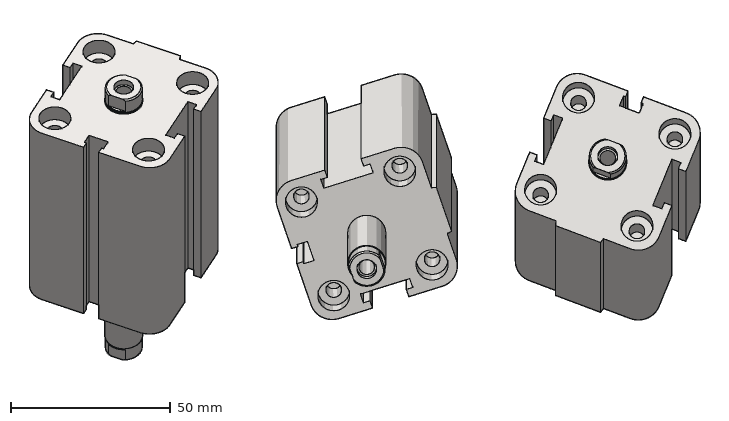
import cadquery as cq

total_length = 116.5
lower_rod_length = 36.1
upper_rod_length = 6.0
housing_bottom = lower_rod_length
housing_top = total_length - upper_rod_length
housing_height = housing_top - housing_bottom

housing_side = 48.0
corner_radius = 7.0
ridge_height = 1.5
ridge_base_width = 16.0
ridge_top_width = 15.3

side_slot_opening = 12.0
side_slot_chamber = 16.3
side_slot_lip = 2.6
side_slot_depth = 5.6
front_slot_opening = 5.2
front_slot_chamber = 6.6
front_slot_lip = 2.1
front_slot_depth = 5.5

mount_spacing = 32.5
mount_hole_diameter = 4.9
mount_bore_diameter = 10.0
mount_bore_depth = 5.7
mount_hole_depth = 14.5

rod_diameter = 12.0
rod_end_diameter = 11.6
rod_end_length = 5.5
shoulder_taper_length = 0.17
rod_end_chamfer = 0.5
flat_length = 5.0
flat_spacing = 10.0
rod_hole_diameter = 4.9
rod_bore_diameter = 6.2
rod_bore_depth = 2.1


def prism(width, depth, height):
    """Box centred on the Z axis and standing on Z = 0."""
    return cq.Workplane("XY").box(width, depth, height, centered=(True, True, False))


def cylinder(diameter, height):
    """Cylinder on the Z axis, standing on Z = 0."""
    return cq.Workplane("XY").circle(diameter / 2).extrude(height)


def make_t_slot(opening, chamber, lip, depth):
    """Full-height T-slot cutter entering the -Y face of the housing."""
    face = -housing_side / 2
    mouth_half = opening / 2
    chamber_half = chamber / 2
    return (
        cq.Workplane("XY")
        .moveTo(-mouth_half, face)
        .lineTo(-mouth_half, face + lip)
        .lineTo(-chamber_half, face + lip)
        .lineTo(-chamber_half, face + depth)
        .lineTo(chamber_half, face + depth)
        .lineTo(chamber_half, face + lip)
        .lineTo(mouth_half, face + lip)
        .lineTo(mouth_half, face)
        .close()
        .extrude(housing_height)
    )


def make_ridge():
    """Tapered ridge running the full height of the +Y face."""
    face = housing_side / 2
    return (
        cq.Workplane("XY")
        .moveTo(-ridge_base_width / 2, face)
        .lineTo(-ridge_top_width / 2, face + ridge_height)
        .lineTo(ridge_top_width / 2, face + ridge_height)
        .lineTo(ridge_base_width / 2, face)
        .close()
        .extrude(housing_height)
    )


def make_mount_holes():
    """Cutter for the four counterbored blind holes in the lower end of the housing."""
    centres = cq.Workplane("XY").rect(mount_spacing, mount_spacing, forConstruction=True).vertices()
    holes = centres.circle(mount_hole_diameter / 2).extrude(mount_hole_depth)
    bores = centres.circle(mount_bore_diameter / 2).extrude(mount_bore_depth)
    return holes.union(bores)


def make_housing():
    housing = prism(housing_side, housing_side, housing_height).edges("|Z").fillet(corner_radius)
    housing = housing.union(make_ridge())
    housing = housing.cut(
        make_t_slot(front_slot_opening, front_slot_chamber, front_slot_lip, front_slot_depth)
    )
    side_slot = make_t_slot(side_slot_opening, side_slot_chamber, side_slot_lip, side_slot_depth)
    for angle in (-90, 90):
        housing = housing.cut(side_slot.rotate((0, 0, 0), (0, 0, 1), angle))
    lower_holes = make_mount_holes()
    upper_holes = lower_holes.mirror("XY").translate((0, 0, housing_height))
    housing = housing.cut(lower_holes).cut(upper_holes)
    housing = housing.cut(cylinder(rod_diameter, housing_height))
    return housing.translate((0, 0, housing_bottom))


def make_flats():
    """Cutter for the two wrench flats, facing -Y and +Y, at the lower rod end."""
    return prism(rod_diameter, 2 * rod_diameter, flat_length).cut(
        prism(rod_diameter, flat_spacing, flat_length)
    )


def make_half_rod():
    """Lower half of the rod: stepped end with wrench flats and a counterbored hole."""
    half_length = total_length / 2
    end = cylinder(rod_end_diameter, rod_end_length).faces("<Z").chamfer(rod_end_chamfer)
    shank = (
        cylinder(rod_diameter, half_length - rod_end_length)
        .faces("<Z")
        .chamfer(shoulder_taper_length, (rod_diameter - rod_end_diameter) / 2)
        .translate((0, 0, rod_end_length))
    )
    hole = cylinder(rod_hole_diameter, half_length)
    bore = cylinder(rod_bore_diameter, rod_bore_depth)
    return end.union(shank).cut(make_flats()).cut(hole).cut(bore)


def make_rod():
    """Complete rod: both ends are alike, mirrored about mid-length."""
    lower_half = make_half_rod()
    upper_half = lower_half.mirror("XY").translate((0, 0, total_length))
    return lower_half.union(upper_half)


housing = make_housing()
rod = make_rod()

result = cq.Compound.makeCompound([housing.val(), rod.val()])